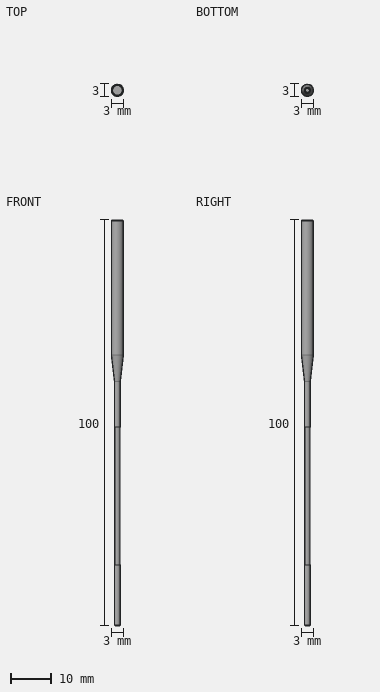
import cadquery as cq

cutter_diameter = 1.5
neck_diameter = 1.4
stem_diameter = cutter_diameter
shank_diameter = 3.0

cutter_top = 15.0
neck_top = 49.0
cone_bottom = 60.2
shank_bottom = 66.65
overall_length = 100.0

tip_chamfer = 0.25
shank_chamfer = 0.3


def make_cutter():
    """Round cutting head with a chamfered tip."""
    return (
        cq.Workplane("XY")
        .circle(cutter_diameter / 2)
        .extrude(cutter_top)
        .faces("<Z")
        .chamfer(tip_chamfer)
    )


def make_holder():
    """Neck, stem, cone and chamfered shank, turned from one profile about Z."""
    neck_radius = neck_diameter / 2
    stem_radius = stem_diameter / 2
    shank_radius = shank_diameter / 2
    profile = (
        cq.Workplane("XZ")
        .moveTo(0, cutter_top)
        .lineTo(neck_radius, cutter_top)
        .lineTo(neck_radius, neck_top)
        .lineTo(stem_radius, neck_top)
        .lineTo(stem_radius, cone_bottom)
        .lineTo(shank_radius, shank_bottom)
        .lineTo(shank_radius, overall_length - shank_chamfer)
        .lineTo(shank_radius - shank_chamfer, overall_length)
        .lineTo(0, overall_length)
        .close()
    )
    return profile.revolve(360, (0, 0, 0), (0, 1, 0))


cutter = make_cutter()
holder = make_holder()

result = cq.Compound.makeCompound([cutter.val(), holder.val()])